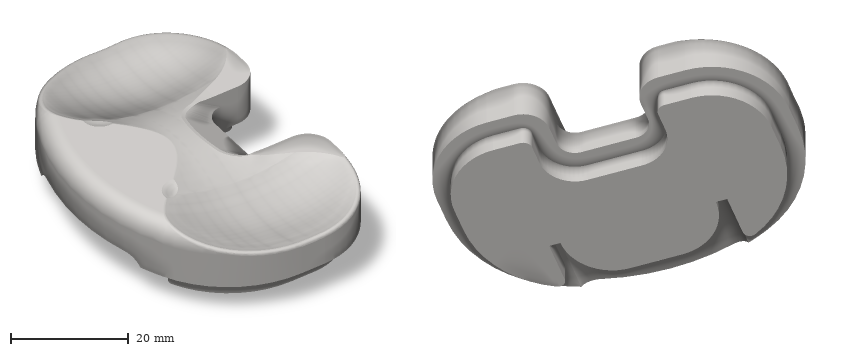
import cadquery as cq
import math

half_width = 31.65
depth = 43.1
height = 14.3
plate_bottom = 3.8
flat_front, flat_back = 24.55, 29.3
side_radius = 22.4
back_radius = depth - flat_back
horn_radius = 4.75
horn_top = 11.85
horn_rise_start = 33.5
horn_rise_end = 27.55
horn_rise_radius = 33.55
crown_radius = 3.5

notch_half = 8.2
notch_floor = 31.45
notch_corner = 3.3
slope_bottom = 9.0
slope_rise, slope_run = 4.1, 6.45

axis_y, axis_z = 26.7, 48.6
dish_x = 22.15
dish_radius = 40.4
dish_section_radius = 22.8
dish_inner_x = 12.0

dimple_x, dimple_y, dimple_z = 12.4, 12.85, 20.5
dimple_radius = 7.0

plug_inset = 3.1
lobe_inner_x = 16.0
nose_radius = 1.25
boss_front = 7.1
boss_half_flat = 4.7
boss_corner = 9.3
slot_back = boss_front + boss_corner

relief_top = 5.7
relief_half_flat = 11.85
relief_radius = 3.7

notch_lip = 0.4
rim_radius = 0.6
overshoot = 6.3
margin = 0.65


def front_edge(sketch):
    """Three tangent arcs from the left side, round the front, to the right side."""
    side_x = half_width - side_radius
    front_radius = (side_x**2 + flat_front**2 - side_radius**2) / (2 * (flat_front - side_radius))
    angle = math.atan2(front_radius - flat_front, side_x)
    join_x = side_x + side_radius * math.cos(angle)
    join_y = flat_front - side_radius * math.sin(angle)
    mid_x = side_x + side_radius * math.cos(angle / 2)
    mid_y = flat_front - side_radius * math.sin(angle / 2)
    return (
        sketch.moveTo(-half_width, flat_front)
        .threePointArc((-mid_x, mid_y), (-join_x, join_y))
        .threePointArc((0, 0), (join_x, join_y))
        .threePointArc((mid_x, mid_y), (half_width, flat_front))
    )


def outline():
    """Outer outline of the plate with the notch left out."""
    back_x = half_width - back_radius
    diagonal = back_radius * math.sqrt(0.5)
    return (
        front_edge(cq.Workplane("XY"))
        .lineTo(half_width, flat_back)
        .threePointArc((back_x + diagonal, flat_back + diagonal), (back_x, depth))
        .lineTo(-back_x, depth)
        .threePointArc((-back_x - diagonal, flat_back + diagonal), (-half_width, flat_back))
        .close()
    )


def notch_prism(inset):
    """Upright cutter for the notch, widened all round by the inset."""
    half = notch_half + inset
    floor = notch_floor - inset
    length = depth + overshoot - floor
    return (
        cq.Workplane("XY")
        .center(0, floor + length / 2)
        .rect(2 * half, length)
        .extrude(height + overshoot)
        .edges("|Z and <Y")
        .fillet(notch_corner + inset)
    )


def horned_prism(inset, bottom, top):
    """Horseshoe body between two heights, its outline pulled in by the inset."""
    base = outline().offset2D(-inset) if inset else outline()
    body = base.extrude(top - bottom).translate((0, 0, bottom)).cut(notch_prism(inset))
    corners = cq.selectors.BoxSelector(
        (-notch_half - inset - margin, depth - inset - margin, 0),
        (notch_half + inset + margin, depth - inset + margin, height),
    )
    return body.edges("|Z").edges(corners).fillet(horn_radius - inset)


def crown():
    """Envelope with the rounded front top edge."""
    front = front_edge(cq.Workplane("XY")).close().extrude(height)
    front = front.faces(">Z").edges("not(>Y)").fillet(crown_radius)
    back_depth = depth - flat_front
    back = cq.Workplane("XY").box(2 * half_width, back_depth, height, centered=(True, False, False))
    return front.union(back.translate((0, flat_front, 0)))


def notch_slope():
    """Cutter with the notch profile, leaning forward as it rises."""
    base = notch_prism(0).faces("<Z").wires().val().translate(cq.Vector(0, 0, slope_bottom))
    rise = slope_rise + overshoot
    lean = cq.Vector(0, -slope_run * rise / slope_rise, rise)
    return cq.Workplane(cq.Solid.extrudeLinear(base, [], lean))


def horn_relief():
    """Space above the horns: level at the back, curving up toward the front."""
    run = horn_rise_start - horn_rise_end
    rise = horn_rise_radius - math.sqrt(horn_rise_radius**2 - run**2)
    mid_rise = horn_rise_radius - math.sqrt(horn_rise_radius**2 - (run / 2) ** 2)
    return (
        cq.Workplane("YZ")
        .moveTo(depth + overshoot, horn_top)
        .lineTo(horn_rise_start, horn_top)
        .threePointArc((horn_rise_start - run / 2, horn_top + mid_rise), (horn_rise_end, horn_top + rise))
        .lineTo(horn_rise_end, height + overshoot)
        .lineTo(depth + overshoot, height + overshoot)
        .close()
        .extrude(half_width + overshoot, both=True)
    )


def dish_cutter():
    """Both dishes and the saddle between them as one turned solid."""
    run = dish_x - dish_inner_x
    angle = math.asin(run / dish_section_radius)
    saddle_radius = dish_inner_x / math.sin(angle)
    center = dish_radius - dish_section_radius
    inner = center + dish_section_radius * math.cos(angle)
    saddle = inner - saddle_radius * (1 - math.cos(angle))
    saddle_mid_x = saddle_radius * math.sin(angle / 2)
    saddle_mid = saddle + saddle_radius * (1 - math.cos(angle / 2))
    end_x = half_width + overshoot / 2
    end = center + math.sqrt(dish_section_radius**2 - (end_x - dish_x) ** 2)
    return (
        cq.Workplane("XY")
        .moveTo(-end_x, 0)
        .lineTo(-end_x, end)
        .threePointArc((-dish_x, dish_radius), (-dish_inner_x, inner))
        .threePointArc((-saddle_mid_x, saddle_mid), (0, saddle))
        .threePointArc((saddle_mid_x, saddle_mid), (dish_inner_x, inner))
        .threePointArc((dish_x, dish_radius), (end_x, end))
        .lineTo(end_x, 0)
        .close()
        .revolve(360, (0, 0), (1, 0))
        .translate((0, axis_y, axis_z))
    )


def front_relief():
    """Shallow cut with rounded ends under the front of the plate."""
    drop = relief_top - plate_bottom
    run = math.sqrt(relief_radius**2 - (relief_radius - drop) ** 2)
    mid_run = run / 2
    mid_z = relief_top - relief_radius + math.sqrt(relief_radius**2 - mid_run**2)
    end_x = relief_half_flat + run
    mid_x = relief_half_flat + mid_run
    return (
        cq.Workplane("XZ")
        .moveTo(-end_x, plate_bottom)
        .threePointArc((-mid_x, mid_z), (-relief_half_flat, relief_top))
        .lineTo(relief_half_flat, relief_top)
        .threePointArc((mid_x, mid_z), (end_x, plate_bottom))
        .close()
        .extrude(-slot_back)
    )


def boss():
    """Block behind the front relief, with a quarter round at each front corner."""
    half = boss_half_flat + boss_corner
    mid_x = boss_half_flat + boss_corner * math.sqrt(0.5)
    mid_y = slot_back - boss_corner * math.sqrt(0.5)
    return (
        cq.Workplane("XY")
        .moveTo(-half, slot_back)
        .threePointArc((-mid_x, mid_y), (-boss_half_flat, boss_front))
        .lineTo(boss_half_flat, boss_front)
        .threePointArc((mid_x, mid_y), (half, slot_back))
        .close()
        .extrude(relief_top)
    )


def plug():
    """Inset horseshoe with a slot on each side of a rounded front boss."""
    body = horned_prism(plug_inset, 0, plate_bottom)
    body = body.cut(
        cq.Workplane("XY").box(2 * lobe_inner_x, slot_back, plate_bottom, centered=(True, False, False))
    )
    tips = cq.selectors.BoxSelector(
        (-lobe_inner_x - margin, 0, 0),
        (lobe_inner_x + margin, slot_back - margin, plate_bottom),
    )
    return body.edges("|Z").edges(tips).fillet(nose_radius).union(boss())


def dimples():
    """Two balls that scoop the plateau edge."""
    ball = cq.Workplane("XY").sphere(dimple_radius)
    left = ball.translate((-dimple_x, dimple_y, dimple_z))
    return left.union(ball.translate((dimple_x, dimple_y, dimple_z)))


def upper_body():
    """Plate with its bearing surfaces and softened lips."""
    body = horned_prism(0, plate_bottom, height).intersect(crown())
    body = body.cut(notch_slope()).cut(dish_cutter())

    lip_y = notch_floor - slope_run
    notch_edge = cq.selectors.BoxSelector(
        (-margin, lip_y - 2 * margin, slope_bottom + slope_rise - margin),
        (margin, lip_y + margin, height - margin / 2),
    )
    body = body.edges(notch_edge).chamfer(notch_lip)
    body = body.cut(horn_relief())

    rim_edge = cq.selectors.BoxSelector(
        (half_width - margin, flat_front, plate_bottom + margin),
        (half_width + margin, flat_back, height),
    )
    rim_edge = cq.selectors.SubtractSelector(rim_edge, cq.selectors.ParallelDirSelector(cq.Vector(0, 0, 1)))
    return body.edges(rim_edge).fillet(rim_radius).cut(dimples())


result = upper_body().cut(front_relief()).union(plug())